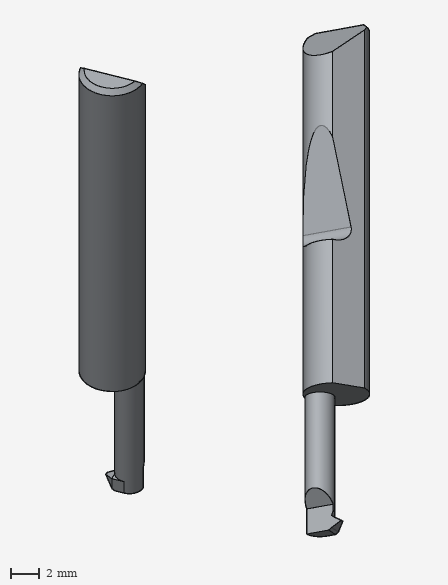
import cadquery as cq

total_length = 38.1
shank_radius = 2.38
shank_bottom = 10.2
end_chamfer = 0.4

flat_distance = 2.02
flat_angle = 143.2

slope_start_z = 35.2

notch_top = 29.85
notch_bottom = 21.1
notch_corner_y = 0.85
notch_fillet = 1.0

neck_radius = 1.05
neck_x = shank_radius - neck_radius
relief_z = 1.9

tip_x = -0.42
tip_z = 0.57
tooth_root_x = 0.4
tooth_inner_x = 1.35
tooth_top = 1.05
tooth_root_bottom = 0.15
nose_x = 0.6
tooth_depth = neck_radius
ridge_length = 0.23
neck_bevel_top = 1.45

margin = 1.9
wide = 4 * shank_radius


def yz_prism(points):
    """Prism through the whole width in X, from (y, z) points."""
    return cq.Workplane("YZ").polyline(points).close().extrude(wide / 2, both=True)


def xz_prism(points, depth):
    """Prism from the rake plane Y = 0 toward -Y, from (x, z) points."""
    return cq.Workplane("XZ").polyline(points).close().extrude(depth)


def make_shank():
    shank = (
        cq.Workplane("XY", origin=(0, 0, shank_bottom))
        .circle(shank_radius)
        .extrude(total_length - shank_bottom)
        .faces(">Z")
        .chamfer(end_chamfer)
    )
    flat_cut = (
        cq.Workplane("XY")
        .center(flat_distance + shank_radius, 0)
        .rect(2 * shank_radius, wide)
        .extrude(total_length)
        .rotate((0, 0, 0), (0, 0, 1), flat_angle)
    )
    outer_y = shank_radius + margin
    slope_top = total_length + margin
    slope_cut = yz_prism([
        (outer_y, slope_start_z - margin),
        (outer_y, slope_top),
        (shank_radius + slope_start_z - slope_top, slope_top),
    ])
    notch_cut = yz_prism([
        (shank_radius, notch_top),
        (notch_corner_y, notch_bottom),
        (outer_y, notch_bottom),
        (outer_y, notch_top),
    ])
    notch_cut = notch_cut.edges("|X").edges("<Y").fillet(notch_fillet)
    return shank.cut(flat_cut).cut(slope_cut).cut(notch_cut)


def make_neck():
    neck = cq.Workplane("XY").center(neck_x, 0).circle(neck_radius).extrude(shank_bottom)
    relief_y = neck_radius + margin
    relief_cut = yz_prism([
        (0, -margin),
        (0, relief_z),
        (relief_y, relief_z + relief_y),
        (relief_y, -margin),
    ])
    side_x = neck_x - neck_radius
    side_cut = xz_prism([
        (-margin, neck_bevel_top),
        (side_x, neck_bevel_top),
        (tooth_root_x, tooth_top),
        (tooth_root_x, tooth_root_bottom),
        (nose_x, 0),
        (-margin, 0),
    ], neck_radius)
    return neck.cut(relief_cut).cut(side_cut)


def make_tooth():
    outline = [
        (tip_x, tip_z),
        (tooth_root_x, tooth_root_bottom),
        (nose_x, 0),
        (tooth_inner_x, 0),
        (tooth_inner_x, tooth_top),
        (tooth_root_x, tooth_top),
    ]
    tooth = xz_prism(outline, tooth_depth)
    flank_cut = (
        cq.Workplane("XY")
        .polyline([
            (tip_x, -ridge_length),
            (tooth_root_x, -tooth_depth),
            (tip_x, -tooth_depth),
        ])
        .close()
        .extrude(tooth_top)
    )
    return tooth.cut(flank_cut)


result = make_shank().union(make_neck()).union(make_tooth())